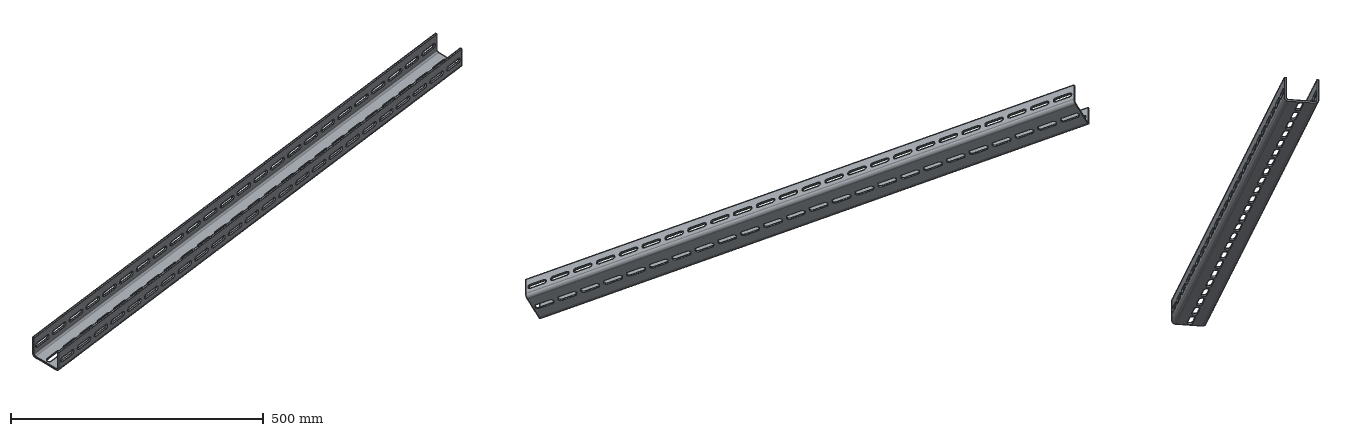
import cadquery as cq

length = 1200.0
width = 70.0
height = 50.0

thickness = 4.0
inner_bend_radius = thickness
outer_bend_radius = inner_bend_radius + thickness

slot_count = 24
slot_pitch = length / slot_count
slot_gap = 9.8
slot_length = slot_pitch - slot_gap
slot_width = 11.3
wall_slot_height = height / 2


def channel_body():
    """U-shaped sheet profile, open upwards, running along Y."""
    outer = (
        cq.Workplane("XY")
        .box(width, length, height, centered=(True, True, False))
        .edges("|Y and <Z")
        .fillet(outer_bend_radius)
    )
    inner = (
        cq.Workplane("XY")
        .workplane(offset=thickness)
        .box(width - 2 * thickness, length, height, centered=(True, True, False))
        .edges("|Y and <Z")
        .fillet(inner_bend_radius)
    )
    return outer.cut(inner)


def base_slots():
    """Row of round-ended slots through the base."""
    return (
        cq.Workplane("XY")
        .rarray(12, slot_pitch, 1, slot_count)
        .slot2D(slot_length, slot_width, 90)
        .extrude(thickness)
    )


def wall_slots():
    """Row of round-ended slots through both side walls."""
    return (
        cq.Workplane("YZ")
        .center(0, wall_slot_height)
        .rarray(slot_pitch, 12, slot_count, 1)
        .slot2D(slot_length, slot_width)
        .extrude(width / 2, both=True)
    )


result = channel_body().cut(base_slots()).cut(wall_slots())